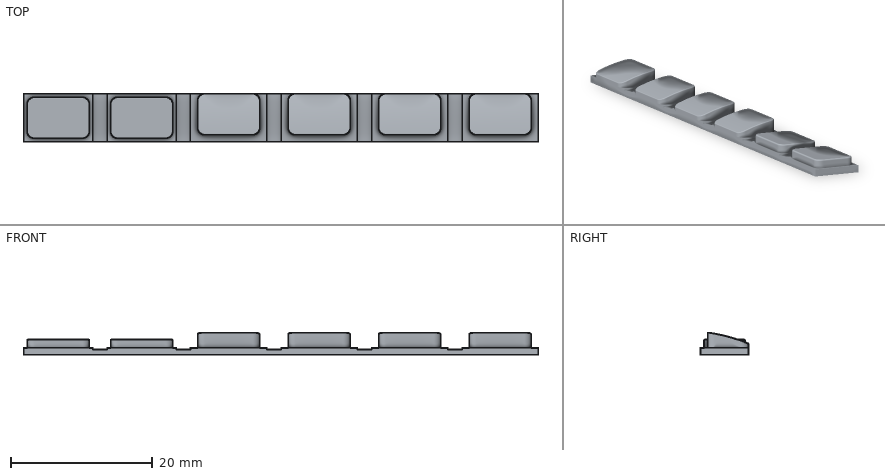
import cadquery as cq

strip_depth = 6.8
strip_thickness = 1.0
groove_width = 2.0
groove_depth = 0.2

flat_pad_length = 9.8
tall_pad_length = 10.8
flat_key_count = 2
tall_key_count = 4

key_length = 8.8
key_depth = 5.8
key_corner_radius = 1.0
flat_key_edge_radius = 0.2
tall_key_edge_radius = 0.15
flat_key_height = 1.2

tall_key_front_y = strip_depth - key_depth
crown_front_z = 3.19
crown_back_z = 1.6
crown_bulge = 0.22

pad_lengths = [flat_pad_length] * flat_key_count + [tall_pad_length] * tall_key_count
strip_length = sum(pad_lengths) + groove_width * (len(pad_lengths) - 1)
pad_starts = [sum(pad_lengths[:i]) + groove_width * i for i in range(len(pad_lengths))]
pad_centers = [start + length / 2 for start, length in zip(pad_starts, pad_lengths)]


def make_strip():
    """Base strip with a shallow cross groove between neighbouring pads."""
    strip = cq.Workplane("XY").box(strip_length, strip_depth, strip_thickness, centered=False)
    for start in pad_starts[1:]:
        groove = (
            cq.Workplane("XY")
            .box(groove_width, strip_depth, groove_depth, centered=False)
            .translate((start - groove_width, 0, strip_thickness - groove_depth))
        )
        strip = strip.cut(groove)
    return strip


def make_key_block(center_x, center_y, height):
    """Upright block with rounded corners, standing on the strip."""
    return (
        cq.Workplane("XY", origin=(center_x, center_y, strip_thickness))
        .rect(key_length, key_depth)
        .extrude(height)
        .edges("|Z")
        .fillet(key_corner_radius)
    )


def make_flat_key(center_x):
    """Low key with a level top, centred across the strip."""
    block = make_key_block(center_x, strip_depth / 2, flat_key_height)
    return block.faces(">Z").edges().fillet(flat_key_edge_radius)


def make_tall_key(center_x):
    """Tall key flush with the back of the strip, its crown sloping down to the back."""
    block = make_key_block(center_x, strip_depth - key_depth / 2, crown_front_z - strip_thickness)
    crown_middle = (
        (tall_key_front_y + strip_depth) / 2,
        (crown_front_z + crown_back_z) / 2 + crown_bulge,
    )
    crown_envelope = (
        cq.Workplane("YZ", origin=(center_x - key_length / 2, 0, 0))
        .moveTo(tall_key_front_y, 0)
        .lineTo(tall_key_front_y, crown_front_z)
        .threePointArc(crown_middle, (strip_depth, crown_back_z))
        .lineTo(strip_depth, 0)
        .close()
        .extrude(key_length)
    )
    key = block.intersect(crown_envelope)
    return key.faces(">Z").edges().fillet(tall_key_edge_radius)


result = make_strip()
for index, center in enumerate(pad_centers):
    key = make_flat_key(center) if index < flat_key_count else make_tall_key(center)
    result = result.union(key)